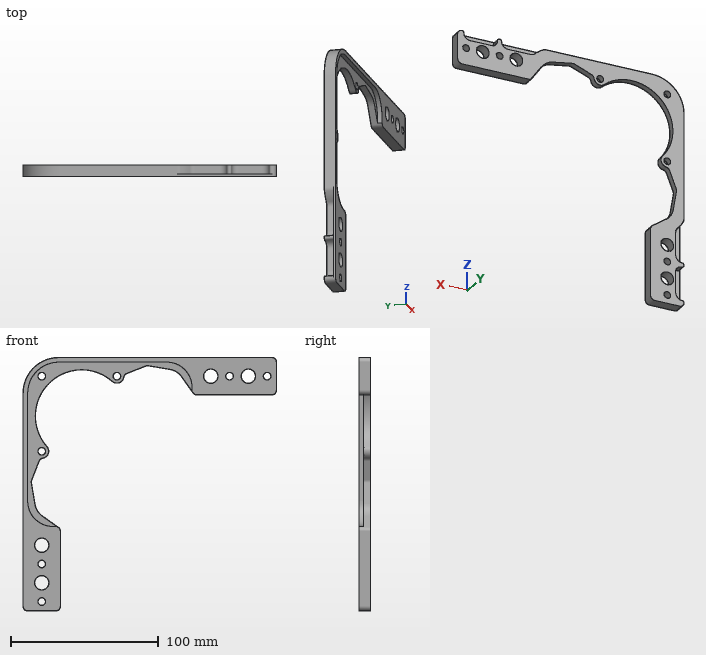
import cadquery as cq
import math


arm_length = 171.45
arm_width = 25.4
thickness = 8.0
outer_corner_radius = 24.2
arm_corner_radius = 3.175
toward_outer_corner = 135

hole_pitch = 12.7
row_depth = arm_width / 2
small_hole_diameter = 4.96
large_hole_diameter = 9.525
corner_hole = hole_pitch
lug_hole = 5 * hole_pitch
large_holes = [10 * hole_pitch, 12 * hole_pitch]
end_holes = [11 * hole_pitch, 13 * hole_pitch]

lug_radius = 4.7625
lug_root_radius = 3.175
bore_center = 39.6875
apex = (83.9, -5.6)
rise_angle = 21.3
fall_angle = 9.5
flank_angle = 54.7
flank_foot_x = 115.95
apex_radius = 3.6
shoulder_radius = 12.0

rim_width = 3.175
recess_depth = rim_width
recess_end = 114.3
recess_end_radius = 17.0

plate_thickness = 1.5875
rib_tip_radius = 1.5875
relief_fillet = 4.7625
relief_depth = rib_tip_radius + relief_fillet
step_wall = 4.7625
ribs = [11 * hole_pitch, arm_length - arm_corner_radius]


def across(point):
    """Mirror an (x, z) point across the diagonal of the L."""
    x, z = point
    return (-z, -x)


def polar(center, radius, angle):
    """Point at an angle (degrees, from +X towards +Z) around a center."""
    a = math.radians(angle)
    return (center[0] + radius * math.cos(a), center[1] + radius * math.sin(a))


def angle_between(start, end):
    return math.degrees(math.atan2(end[1] - start[1], end[0] - start[0]))


def both_arms(body):
    """Add the copy of a body that belongs to the other arm."""
    return body.union(body.mirror((1, 0, 1)))


def front_sketch(y=0.0):
    """XZ workplane at depth y; a negative extrusion goes towards +Y."""
    return cq.Workplane("XZ", origin=(0, y, 0))


lug = (lug_hole, -row_depth)
bore = (bore_center, -bore_center)
bore_radius = math.dist(bore, lug) - lug_radius
bore_to_lug = angle_between(bore, lug)
bore_end = polar(bore, bore_radius, bore_to_lug)

rise = math.radians(rise_angle)
lug_dx = lug[0] - apex[0]
lug_dz = lug[1] - apex[1]
lug_along = lug_dx * math.cos(rise) + lug_dz * math.sin(rise)
lug_above = lug_dz * math.cos(rise) - lug_dx * math.sin(rise)
root_reach = lug_radius + lug_root_radius
root_along = lug_along + math.sqrt(root_reach**2 - (lug_root_radius + lug_above) ** 2)
root_end = polar(apex, root_along, rise_angle)
root = polar(root_end, lug_root_radius, rise_angle - 90)
lug_to_root = angle_between(lug, root)
root_start = polar(lug, lug_radius, lug_to_root)
lug_middle = polar(lug, lug_radius, (bore_to_lug - 180 + lug_to_root) / 2)
root_middle = polar(root, lug_root_radius, (lug_to_root + 180 + rise_angle + 90) / 2)

fall_slope = math.tan(math.radians(fall_angle))
flank_slope = math.tan(math.radians(flank_angle))
flank_foot = (flank_foot_x, -arm_width)
shoulder_x = (flank_slope * flank_foot_x - arm_width - apex[1] - fall_slope * apex[0]) / (
    flank_slope - fall_slope
)
shoulder = (shoulder_x, apex[1] - fall_slope * (shoulder_x - apex[0]))

arm_inner_end = (arm_length, -arm_width)
arm_outer_end = (arm_length, 0)


def make_bracket():
    outline = (
        front_sketch()
        .moveTo(0, 0)
        .lineTo(*arm_outer_end)
        .lineTo(*arm_inner_end)
        .lineTo(*flank_foot)
        .lineTo(*shoulder)
        .lineTo(*apex)
        .lineTo(*root_end)
        .threePointArc(root_middle, root_start)
        .threePointArc(lug_middle, bore_end)
        .threePointArc(polar(bore, bore_radius, toward_outer_corner), across(bore_end))
        .threePointArc(across(lug_middle), across(root_start))
        .threePointArc(across(root_middle), across(root_end))
        .lineTo(*across(apex))
        .lineTo(*across(shoulder))
        .lineTo(*across(flank_foot))
        .lineTo(*across(arm_inner_end))
        .lineTo(*across(arm_outer_end))
        .close()
    )
    body = round_corner(outline.extrude(-thickness), (0, 0), outer_corner_radius)
    rounded = [
        (arm_outer_end, arm_corner_radius),
        (arm_inner_end, arm_corner_radius),
        (flank_foot, arm_corner_radius),
        (shoulder, shoulder_radius),
        (apex, apex_radius),
    ]
    for corner, radius in rounded:
        body = round_corner(body, corner, radius)
        body = round_corner(body, across(corner), radius)
    return body


def round_corner(body, corner, radius):
    """Fillet the edge through the thickness at an (x, z) corner."""
    x, z = corner
    selector = cq.selectors.NearestToPointSelector((x, thickness / 2, z))
    return body.edges("|Y").edges(selector).fillet(radius)


def make_recess():
    """Front pocket inside the rim; it runs out over the open inner side."""
    size = recess_end - rim_width
    center = (recess_end + rim_width) / 2
    pocket = front_sketch().center(center, -center).rect(size, size).extrude(-recess_depth)
    pocket = round_corner(pocket, (rim_width, -rim_width), outer_corner_radius - rim_width)
    end_corner = (recess_end, -rim_width)
    pocket = round_corner(pocket, end_corner, recess_end_radius)
    return round_corner(pocket, across(end_corner), recess_end_radius)


def rib_side(rib_x, side):
    """Points up one side of a rib (side -1 or 1): floor, arc, tip start, arc, tip."""
    arc_center = (rib_x + side * relief_depth, -rib_tip_radius)
    tip_center = (rib_x, -rib_tip_radius)
    diagonal = -135 if side > 0 else -45
    floor = (arc_center[0], -relief_depth)
    flank_middle = polar(arc_center, relief_fillet, diagonal)
    tip_start = (rib_x + side * rib_tip_radius, -rib_tip_radius)
    tip_middle = polar(tip_center, rib_tip_radius, diagonal + 180)
    return floor, flank_middle, tip_start, tip_middle, (rib_x, 0)


def make_step_bay():
    """Relief from the S-shaped step at the end of the thick beam to the first rib."""
    center = (recess_end - recess_end_radius, -rim_width - recess_end_radius)
    radius = recess_end_radius + step_wall

    top_dz = -relief_fillet - center[1]
    top = (center[0] + math.sqrt((radius - relief_fillet) ** 2 - top_dz**2), -relief_fillet)
    foot_z = relief_fillet - relief_depth
    foot_dz = foot_z - center[1]
    foot = (center[0] + math.sqrt((radius + relief_fillet) ** 2 - foot_dz**2), foot_z)

    top_angle = angle_between(center, top)
    foot_angle = angle_between(center, foot)
    floor, flank_middle, tip_start, tip_middle, tip = rib_side(ribs[0], -1)
    return (
        front_sketch(plate_thickness)
        .moveTo(top[0], 0)
        .threePointArc(
            polar(top, relief_fillet, (90 + top_angle) / 2), polar(center, radius, top_angle)
        )
        .threePointArc(
            polar(center, radius, (top_angle + foot_angle) / 2), polar(center, radius, foot_angle)
        )
        .threePointArc(
            polar(foot, relief_fillet, (foot_angle + 180 + 270) / 2), (foot[0], -relief_depth)
        )
        .lineTo(*floor)
        .threePointArc(flank_middle, tip_start)
        .threePointArc(tip_middle, tip)
        .close()
        .extrude(plate_thickness - thickness)
    )


def make_rib_bay():
    """Relief between the two ribs."""
    floor_1, flank_middle_1, tip_start_1, tip_middle_1, tip_1 = rib_side(ribs[0], 1)
    floor_2, flank_middle_2, tip_start_2, tip_middle_2, tip_2 = rib_side(ribs[1], -1)
    return (
        front_sketch(plate_thickness)
        .moveTo(*tip_1)
        .threePointArc(tip_middle_1, tip_start_1)
        .threePointArc(flank_middle_1, floor_1)
        .lineTo(*floor_2)
        .threePointArc(flank_middle_2, tip_start_2)
        .threePointArc(tip_middle_2, tip_2)
        .close()
        .extrude(plate_thickness - thickness)
    )


def make_holes(positions, diameter):
    points = [(x, -row_depth) for x in positions]
    return front_sketch().pushPoints(points).circle(diameter / 2).extrude(-thickness)


result = make_bracket().cut(make_recess())
for bay in (make_step_bay(), make_rib_bay()):
    result = result.cut(both_arms(bay))
small_holes = make_holes([corner_hole, lug_hole] + end_holes, small_hole_diameter)
result = result.cut(both_arms(small_holes))
result = result.cut(both_arms(make_holes(large_holes, large_hole_diameter)))